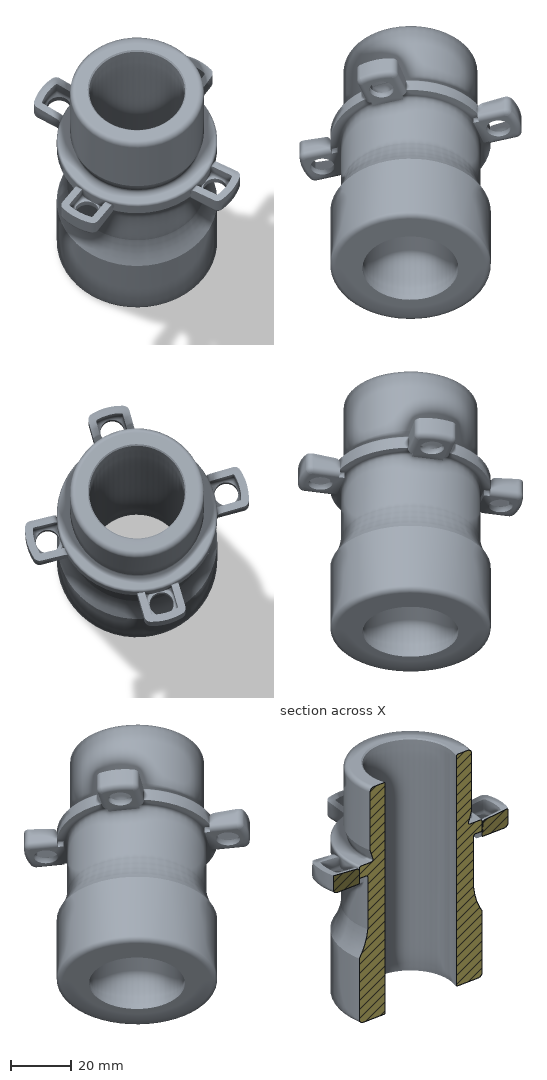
import cadquery as cq
import math

total_height = 88.52
bore_radius = 15.95
bore_chamfer = 0.45
rim_fillet = 1.75

bell_radius = 26.7
bell_top = 25.0
waist_radius = 23.2
waist_bottom = 34.9
shoulder_sag = 0.6

flange_radius = bell_radius
flange_bottom = 55.4
flange_top = 60.1
flange_edge_fillet = 0.8
flange_root_fillet = 0.6

neck_radius = 21.0
spigot_radius = 22.25
spigot_bottom = 64.7

lug_count = 4
lug_span = 75.79
lug_reach = lug_span / 2
lug_half_width = 7.05
lug_end_radius = 19.0
lug_corner_fillet = 2.2
lug_bottom = 53.35
lug_tip_top = 60.5
lug_top_slope = math.radians(5)
lug_bottom_fillet = 1.75
lug_heel_fillet = 1.8

end_wall = 2.55
pocket_half_width = 4.6
pocket_corner_fillet = 0.6
pocket_floor = flange_bottom
pocket_floor_fillet = 0.9

hole_radius = 4.0
hole_position = 30.8

tongue_reach = 23.85
tongue_half_width = lug_half_width - lug_bottom_fillet

end_center = lug_reach - lug_end_radius
pocket_end_radius = lug_end_radius - end_wall

arm_start = math.sqrt(flange_radius**2 - lug_half_width**2)


def arc_point(center_r, center_z, radius, angle_degrees):
    """Point on an arc in the (r, z) half plane."""
    angle = math.radians(angle_degrees)
    return (center_r + radius * math.cos(angle), center_z + radius * math.sin(angle))


def make_pipe():
    """Revolved pipe with a bell, a flange and a spigot, all on one through bore."""
    flare = bell_radius - waist_radius
    rise = waist_bottom - bell_top
    slant = math.hypot(flare, rise)
    shoulder_mid = (
        waist_radius + flare / 2 - shoulder_sag * rise / slant,
        bell_top + rise / 2 - shoulder_sag * flare / slant,
    )
    root = flange_root_fillet
    edge = flange_edge_fillet
    rim = rim_fillet

    profile = (
        cq.Workplane("XZ")
        .moveTo(bore_radius, 0)
        .lineTo(bell_radius - rim, 0)
        .threePointArc(arc_point(bell_radius - rim, rim, rim, -45), (bell_radius, rim))
        .lineTo(bell_radius, bell_top)
        .threePointArc(shoulder_mid, (waist_radius, waist_bottom))
        .lineTo(waist_radius, flange_bottom - root)
        .threePointArc(
            arc_point(waist_radius + root, flange_bottom - root, root, 135),
            (waist_radius + root, flange_bottom),
        )
        .lineTo(flange_radius, flange_bottom)
        .lineTo(flange_radius, flange_top - edge)
        .threePointArc(
            arc_point(flange_radius - edge, flange_top - edge, edge, 45),
            (flange_radius - edge, flange_top),
        )
        .lineTo(neck_radius + root, flange_top)
        .threePointArc(
            arc_point(neck_radius + root, flange_top + root, root, 225),
            (neck_radius, flange_top + root),
        )
        .lineTo(spigot_radius, spigot_bottom)
        .lineTo(spigot_radius, total_height - rim)
        .threePointArc(
            arc_point(spigot_radius - rim, total_height - rim, rim, 45),
            (spigot_radius - rim, total_height),
        )
        .lineTo(bore_radius + bore_chamfer, total_height)
        .lineTo(bore_radius, total_height - bore_chamfer)
        .close()
    )
    return profile.revolve(360, (0, 0, 0), (0, 1, 0))


def bowed_plate(start, half_width, end_radius, bottom, corner_fillet, bottom_fillet):
    """Upright plate along +X with a bowed outer end, rounded corners and rounded lower edges."""
    corner_x = end_center + math.sqrt(end_radius**2 - half_width**2)
    plate = (
        cq.Workplane("XY", origin=(0, 0, bottom))
        .moveTo(start, -half_width)
        .lineTo(corner_x, -half_width)
        .threePointArc((end_center + end_radius, 0), (corner_x, half_width))
        .lineTo(start, half_width)
        .close()
        .extrude(lug_tip_top - bottom)
    )
    plate = plate.edges("|Z").edges(">X").fillet(corner_fillet)
    return plate.faces("<Z").edges("not(<X)").fillet(bottom_fillet)


def make_lug_blank():
    """Full lug outline before the top is sloped."""
    return bowed_plate(
        arm_start, lug_half_width, lug_end_radius, lug_bottom, lug_corner_fillet, lug_bottom_fillet
    )


def make_lug_side_profile():
    """Block whose top falls toward the flange and rounds over at the heel."""
    heel_top = lug_tip_top - (lug_reach - arm_start) * math.tan(lug_top_slope)
    block = (
        cq.Workplane("XZ")
        .moveTo(arm_start, lug_bottom)
        .lineTo(lug_reach, lug_bottom)
        .lineTo(lug_reach, lug_tip_top)
        .lineTo(arm_start, heel_top)
        .close()
        .extrude(lug_half_width, both=True)
    )
    return block.faces("<X").edges(">Z").fillet(lug_heel_fillet)


def make_pocket():
    """Nut pocket, open toward the flange, with a rounded edge around its floor."""
    return bowed_plate(
        tongue_reach,
        pocket_half_width,
        pocket_end_radius,
        pocket_floor,
        pocket_corner_fillet,
        pocket_floor_fillet,
    )


def make_tongue():
    """Flat tongue that runs from the pocket floor to under the flange."""
    return cq.Workplane("XY").box(
        hole_position - hole_radius - tongue_reach,
        2 * tongue_half_width,
        pocket_floor - lug_bottom,
        centered=(False, True, False),
    ).translate((tongue_reach, 0, lug_bottom))


def make_bolt_hole():
    """Cylinder that pierces the pocket floor."""
    return (
        cq.Workplane("XY", origin=(hole_position, 0, lug_bottom))
        .circle(hole_radius)
        .extrude(lug_tip_top - lug_bottom)
    )


def make_lug(pipe):
    """Lug with a nut pocket and a bolt hole, fitted against the rim and underside of the flange."""
    lug = make_lug_blank().intersect(make_lug_side_profile())
    lug = lug.union(make_tongue())
    return lug.cut(make_pocket()).cut(make_bolt_hole()).cut(pipe)


pipe = make_pipe()
lug = make_lug(pipe)
lugs = [lug.rotate((0, 0, 0), (0, 0, 1), index * 360 / lug_count) for index in range(lug_count)]

result = cq.Compound.makeCompound([pipe.val(), *[body.val() for body in lugs]])